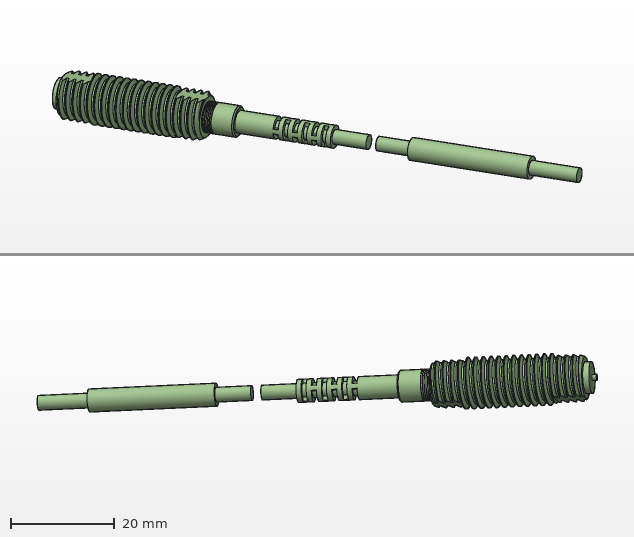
import cadquery as cq
import math


pin_diameter = 1.2
pin_length = 0.85
cap_diameter = 6.2
cap_face_diameter = 4.4
cap_length = 1.3
cap_bevel_depth = 0.1

thread_diameter = 10.0
thread_pitch = 1.5
barrel_length = 30.0
barrel_chamfer = 0.9
thread_flank_angle = 60.0
thread_crest_width = thread_pitch / 8
thread_depth = 5 / 8 * thread_pitch * math.sqrt(3) / 2
groove_start_x = 1.16
groove_turns = 22

flat_spacing = 8.0
flat_length = 6.0

collar_diameter = 6.2
collar_length = 6.6
collar_chamfer = 0.3
rib_pitch = 0.7
rib_groove_width = 0.35
rib_groove_depth = 0.2
rib_groove_count = 3

relief_diameter = 4.5
relief_length = 20.0
slot_width = 1.0
slot_pitch = 2.0
slot_count = 6
slot_web = 1.0

cable_diameter = 2.9
near_cable_length = 7.1
cable_gap = 2.0
far_cable_front_length = 7.0
tube_diameter = 4.5
tube_length = 25.0
far_cable_back_length = 10.0

cap_start = pin_length
barrel_start = cap_start + cap_length
collar_start = barrel_start + barrel_length
relief_start = collar_start + collar_length
relief_end = relief_start + relief_length
near_cable_end = relief_end + near_cable_length
far_cable_start = near_cable_end + cable_gap
tube_start = far_cable_start + far_cable_front_length


def rod(start, length, diameter):
    """Cylinder on the X axis."""
    return cq.Workplane("YZ", origin=(start, 0, 0)).circle(diameter / 2).extrude(length)


def make_cap():
    """Front cap whose rim falls back in a shallow cone, with the pin in its middle."""
    cap = (
        rod(cap_start, cap_length, cap_diameter)
        .faces("<X")
        .chamfer(cap_bevel_depth, (cap_diameter - cap_face_diameter) / 2)
    )
    return cap.union(rod(0, cap_start + cap_length, pin_diameter))


def make_thread_groove():
    """Helical V groove with a flat root, open at the thread crest, wound round the X axis."""
    root_radius = thread_diameter / 2 - thread_depth
    crest_radius = thread_diameter / 2
    mouth_half = (thread_pitch - thread_crest_width) / 2
    root_half = mouth_half - thread_depth * math.tan(math.radians(thread_flank_angle / 2))
    profile = [
        (root_radius, -root_half),
        (root_radius, root_half),
        (crest_radius, mouth_half),
        (crest_radius, -mouth_half),
    ]
    groove_length = groove_turns * thread_pitch
    helices = [
        cq.Wire.makeHelix(thread_pitch, groove_length, radius).translate(cq.Vector(0, 0, offset))
        for radius, offset in profile
    ]
    faces = []
    for index, helix in enumerate(helices):
        next_helix = helices[(index + 1) % len(helices)]
        faces.extend(cq.Face.makeRuledSurface(helix, next_helix).Faces())
    for end in (0, 1):
        corners = [helix.Edges()[0].positionAt(end) for helix in helices]
        faces.append(cq.Face.makeFromWires(cq.Wire.makePolygon(corners, close=True)))
    groove = cq.Workplane(cq.Solid.makeSolid(cq.Shell.makeShell(faces)).fix())
    return groove.rotate((0, 0, 0), (0, 1, 0), 90).translate((groove_start_x, 0, 0))


def make_barrel():
    """Threaded barrel with wrench flats at both ends."""
    barrel = rod(barrel_start, barrel_length, thread_diameter).edges().chamfer(barrel_chamfer)
    barrel = barrel.cut(make_thread_groove(), clean=False)
    flat_cut_height = (thread_diameter - flat_spacing) / 2
    flat_centre_z = (flat_spacing + flat_cut_height) / 2
    for flat_start in (barrel_start, collar_start - flat_length):
        for side in (1, -1):
            flat_cut = cq.Workplane().box(flat_length, thread_diameter, flat_cut_height)
            flat_centre_x = flat_start + flat_length / 2
            barrel = barrel.cut(flat_cut.translate((flat_centre_x, 0, side * flat_centre_z)))
    return barrel


def make_collar():
    """Collar with narrow ring grooves next to the barrel."""
    collar = rod(collar_start, collar_length, collar_diameter).faces(">X").chamfer(collar_chamfer)
    for index in range(rib_groove_count):
        groove_x = collar_start + (index + 0.5) * rib_pitch - rib_groove_width / 2
        ring = rod(groove_x, rib_groove_width, collar_diameter)
        ring = ring.cut(rod(groove_x, rib_groove_width, collar_diameter - 2 * rib_groove_depth))
        collar = collar.cut(ring)
    return collar


def make_relief():
    """Sleeve with slot pairs turned a quarter turn from one to the next.

    Each pair of slots leaves a web across the middle; the cable runs through all of them.
    """
    relief = rod(relief_start, relief_length, relief_diameter)
    slot_depth = (relief_diameter - slot_web) / 2
    slot_offset = (slot_web + slot_depth) / 2
    first_slot_x = relief_end - slot_count * slot_pitch + slot_width / 2
    for index in range(slot_count):
        slot_x = first_slot_x + index * slot_pitch
        for side in (1, -1):
            slot = (
                cq.Workplane()
                .box(slot_width, relief_diameter, slot_depth)
                .translate((slot_x, 0, side * slot_offset))
                .rotate((0, 0, 0), (1, 0, 0), 90 * (index % 2))
            )
            relief = relief.cut(slot)
    return relief.union(rod(relief_start, near_cable_end - relief_start, cable_diameter))


def make_sensor():
    """Sensor head with its strain relief and the near piece of cable."""
    return make_barrel().union(make_cap()).union(make_collar()).union(make_relief())


def make_far_cable():
    """Far piece of cable with the tube round it."""
    far_cable_length = far_cable_front_length + tube_length + far_cable_back_length
    far_cable = rod(far_cable_start, far_cable_length, cable_diameter)
    return far_cable.union(rod(tube_start, tube_length, tube_diameter))


sensor = make_sensor()
far_cable = make_far_cable()
result = cq.Compound.makeCompound([sensor.val(), far_cable.val()])